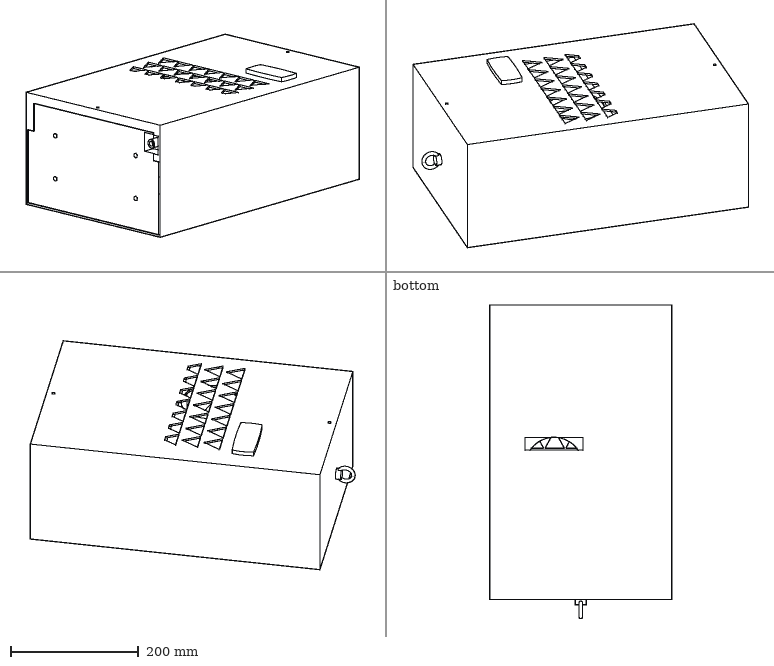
import cadquery as cq
import math

width, depth, height = 285.0, 460.5, 182.0
overall_depth = 490.5
overall_height = 189.0

panel_recess = 2.0
panel_margin = 3.2
panel_shoulder_z, panel_top_z = 121.5, 167
panel_upper_left, panel_upper_right = -126.0, 128.0
panel_hole_radius, panel_hole_depth = 3.5, 10
panel_hole_xs = (-82.5, 88.5)
panel_hole_zs = (52.5, 122.0)

pocket_size, pocket_depth = 30.5, 22.0
pocket_x, pocket_z = 122.5, 148.0
connector_x, connector_z = 121.5, 147.5
connector_radius, connector_bore_radius = 7.0, 4.0
connector_length, connector_bore_depth = 21.0, 7.5

screw_radius, screw_depth = 2.2, 4.0
screw_edge_distance = 11.0

lid_thickness = 3.0
grille_columns, grille_rows = 7, 3
grille_left_x, grille_back_y = -105.5, 293.5
grille_pitch_x, grille_pitch_y = 32.5, 35.0
opening_width, opening_length = 29.5, 27.0
cavity_margin = 14.5
cavity_front_y = 204.5
cavity_back_gap, cavity_depth = 6.0, 15.0

duct_x, duct_y, duct_radius = -41.5, 252.0, 45.0
mouth_thickness = 3.0
chute_back_y = 304
shelf_depth = 45.0
ramp_top_y, ramp_foot_y = 249.5, 227.0
ramp_angle = 54

pad_x, pad_y = 73.0, 332.0
pad_width, pad_length, pad_bulge = 75.5, 34.0, 1.5

eye_z = 85.5
eye_outer_radius, eye_wire_radius = 15.0, 3.0
collar_radius, collar_length = 9.0, 8.5


def box_between(x0, x1, y0, y1, z0, z1):
    return cq.Workplane("XY").box(x1 - x0, y1 - y0, z1 - z0, centered=False).translate((x0, y0, z0))


def rod_along_y(x, z, radius, y0, y1):
    return cq.Workplane("XZ", origin=(x, y0, z)).circle(radius).extrude(y0 - y1)


def panel_recess_cut():
    side = width / 2 - panel_margin
    lower = box_between(-side, side, 0, panel_recess, panel_margin, panel_shoulder_z)
    upper = box_between(panel_upper_left, panel_upper_right, 0, panel_recess, panel_shoulder_z, panel_top_z)
    return lower.union(upper)


def panel_holes():
    points = [(x, z) for x in panel_hole_xs for z in panel_hole_zs]
    return cq.Workplane("XZ").pushPoints(points).circle(panel_hole_radius).extrude(-panel_hole_depth)


def connector_pocket():
    half = pocket_size / 2
    pocket = box_between(
        pocket_x - half, pocket_x + half, 0, pocket_depth, pocket_z - half, pocket_z + half
    )
    tip_y = pocket_depth - connector_length
    body = rod_along_y(connector_x, connector_z, connector_radius, tip_y, pocket_depth)
    bore = rod_along_y(connector_x, connector_z, connector_bore_radius, tip_y, tip_y + connector_bore_depth)
    return pocket.cut(body.cut(bore))


def screw_holes():
    points = [(0, screw_edge_distance), (0, depth - screw_edge_distance)]
    top = cq.Workplane("XY", origin=(0, 0, height))
    return top.pushPoints(points).circle(screw_radius).extrude(-screw_depth)


def grille_cavity():
    right_x = grille_left_x + (grille_columns - 1) * grille_pitch_x
    reach = opening_width / 2 + cavity_margin
    return box_between(
        grille_left_x - reach, right_x + reach,
        cavity_front_y, grille_back_y + cavity_back_gap,
        height - cavity_depth, height - lid_thickness,
    )


def grille_openings():
    openings = cq.Workplane("XY", origin=(0, 0, height))
    for column in range(grille_columns):
        x = grille_left_x + column * grille_pitch_x
        for row in range(grille_rows):
            y = grille_back_y - row * grille_pitch_y
            tip_y = y - opening_length
            end_y = max(tip_y, cavity_front_y)
            end_half = opening_width / 2 * (end_y - tip_y) / opening_length
            openings = openings.moveTo(x - opening_width / 2, y).lineTo(x + opening_width / 2, y)
            openings = openings.lineTo(x + end_half, end_y)
            if end_half > 0:
                openings = openings.lineTo(x - end_half, end_y)
            openings = openings.close()
    return openings.extrude(-lid_thickness)


def air_duct():
    floor_z = height - cavity_depth
    roof_z = floor_z - mouth_thickness
    shelf_z = height - shelf_depth
    foot_z = shelf_z - (ramp_top_y - ramp_foot_y) * math.tan(math.radians(ramp_angle))
    front_y = duct_y - duct_radius
    mouth = (
        cq.Workplane("XY", origin=(duct_x, duct_y, roof_z))
        .circle(duct_radius)
        .extrude(mouth_thickness)
    )
    chute = (
        cq.Workplane("YZ", origin=(duct_x, 0, 0))
        .polyline([
            (chute_back_y, roof_z), (chute_back_y, shelf_z), (ramp_top_y, shelf_z),
            (ramp_foot_y, foot_z), (ramp_foot_y, 0), (front_y, 0), (front_y, roof_z),
        ])
        .close()
        .extrude(duct_radius, both=True)
    )
    return mouth.union(chute)


def display_pad():
    x, y = pad_width / 2, pad_length / 2
    return (
        cq.Workplane("XY", origin=(pad_x, pad_y, height))
        .moveTo(-x, -y)
        .threePointArc((0, -y - pad_bulge), (x, -y))
        .threePointArc((x + pad_bulge, 0), (x, y))
        .threePointArc((0, y + pad_bulge), (-x, y))
        .threePointArc((-x - pad_bulge, 0), (-x, -y))
        .close()
        .extrude(overall_height - height)
    )


def lifting_eye():
    collar = rod_along_y(0, eye_z, collar_radius, depth, depth + collar_length)
    center_y = overall_depth - eye_outer_radius
    mean_radius = eye_outer_radius - eye_wire_radius
    ring = (
        cq.Workplane("XY", origin=(0, center_y, eye_z))
        .center(0, mean_radius)
        .circle(eye_wire_radius)
        .revolve(360, (0, -mean_radius), (1, -mean_radius))
    )
    return collar.union(ring)


result = (
    box_between(-width / 2, width / 2, 0, depth, 0, height)
    .cut(panel_recess_cut())
    .cut(panel_holes())
    .cut(connector_pocket())
    .cut(screw_holes())
    .cut(grille_cavity())
    .cut(grille_openings())
    .cut(air_duct())
    .union(display_pad())
    .union(lifting_eye())
)